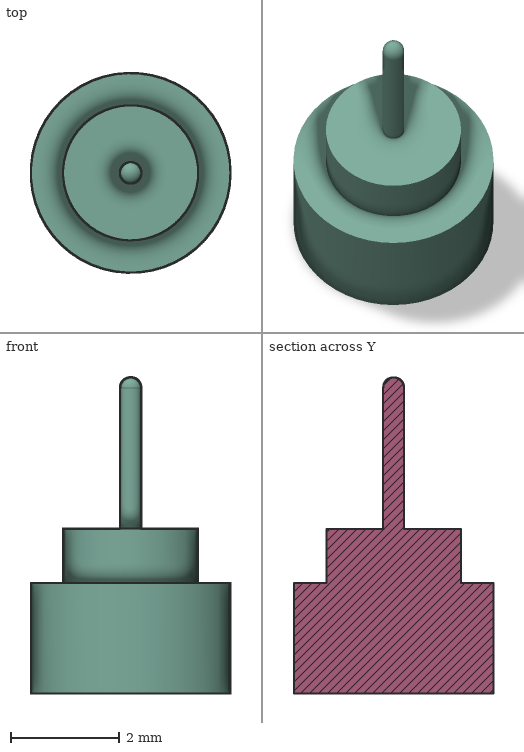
import cadquery as cq

total_height = 5.85

base_diameter = 3.7
base_height = 2.05

collar_diameter = 2.5
collar_height = 1.0

pin_diameter = 0.4
pin_radius = pin_diameter / 2
collar_top = base_height + collar_height
pin_shoulder = total_height - pin_radius


def cylinder(diameter, bottom, top):
    """Upright cylinder on the Z axis between two heights."""
    return cq.Workplane("XY").workplane(offset=bottom).circle(diameter / 2).extrude(top - bottom)


base = cylinder(base_diameter, 0, base_height)
collar = cylinder(collar_diameter, base_height, collar_top)
pin = cylinder(pin_diameter, collar_top, pin_shoulder)
pin_tip = cq.Workplane("XY").sphere(pin_radius).translate((0, 0, pin_shoulder))

result = base.union(collar).union(pin).union(pin_tip)